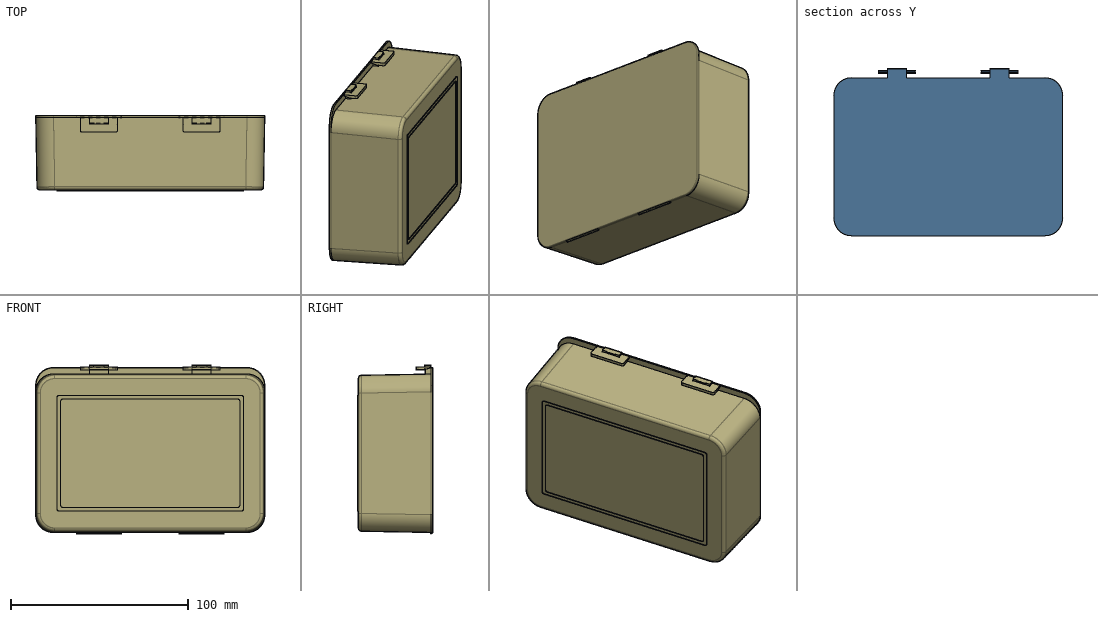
import cadquery as cq
import math


WIDTH = 129.0
FLANGE_HEIGHT = 92.9
FLANGE_THICKNESS = 1.2
CORNER_RADIUS = 10.0
BACK_EDGE_ROUND = 0.4

FLANGE_OVERHANG = 3.6
BOX_FRONT_Y = -42.0
DRAFT_ANGLE = 1.0
FRONT_EDGE_ROUND = 1.9
box_height = FLANGE_HEIGHT - FLANGE_OVERHANG
box_center_z = box_height / 2
box_depth = -BOX_FRONT_Y - FLANGE_THICKNESS

FRAME_WIDTH = 105.0
FRAME_HEIGHT = 65.1
FRAME_BORDER = 2.0
FRAME_RISE = 0.4
FRAME_CORNER_RADIUS = 1.3

STATION_X = 28.9
stations = (-STATION_X, STATION_X)

CATCH_WIDTH = 10.8
CATCH_FRONT_Y = -4.4
CATCH_RISE = 1.3
NUB_WIDTH = 5.8
NUB_LENGTH = 0.4
catch_top_z = FLANGE_HEIGHT + CATCH_RISE

LATCH_WIDTH = 20.9
LATCH_FRONT_Y = -9.4
LATCH_RISE = 0.4
LATCH_THICKNESS = 1.7
LATCH_ROOT_THICKNESS = 0.5
LATCH_RAMP_END_Y = -5.0
LATCH_CORNER_RADIUS = 1.0
latch_top_z = FLANGE_HEIGHT + LATCH_RISE

HINGE_WIDTH = 25.2
HINGE_DROP = 0.8
HINGE_BACK_Y = -0.1
HINGE_RIDGE_Y = -1.0
HINGE_FRONT_Y = -1.5


def block(center_x, width, back_y, front_y, bottom_z, top_z):
    """Box given by its X centre and width and by its limits along Y and Z."""
    return cq.Workplane("XY").box(width, back_y - front_y, top_z - bottom_z).translate(
        (center_x, (back_y + front_y) / 2, (bottom_z + top_z) / 2)
    )


def slab(width, height, center_z, back_y, depth, corner_radius, draft=0.0):
    """Rounded rectangle extruded toward -Y, with its corners rounded after any draft."""
    return (
        cq.Workplane("XZ", origin=(0, back_y, center_z))
        .rect(width, height)
        .extrude(depth, taper=draft)
        .edges("not(|X or |Z)")
        .fillet(corner_radius)
    )


def side_profile(points, center_x, width):
    """Outline of (y, z) points extruded along X, centred on center_x."""
    return (
        cq.Workplane("YZ", origin=(center_x, 0, 0))
        .polyline(points)
        .close()
        .extrude(width / 2, both=True)
    )


def make_shell():
    """Flange and drafted box."""
    flange = slab(WIDTH, FLANGE_HEIGHT, FLANGE_HEIGHT / 2, 0, FLANGE_THICKNESS, CORNER_RADIUS)
    flange = flange.faces(">Y").edges().fillet(BACK_EDGE_ROUND)
    box = slab(WIDTH, box_height, box_center_z, -FLANGE_THICKNESS, box_depth, CORNER_RADIUS, DRAFT_ANGLE)
    box = box.faces("<Y").edges().fillet(FRONT_EDGE_ROUND)
    return flange.union(box)


def make_frame():
    """Raised border around the plain panel on the front of the box."""
    outer = slab(FRAME_WIDTH, FRAME_HEIGHT, box_center_z, BOX_FRONT_Y, FRAME_RISE, FRAME_CORNER_RADIUS)
    opening = slab(
        FRAME_WIDTH - 2 * FRAME_BORDER,
        FRAME_HEIGHT - 2 * FRAME_BORDER,
        box_center_z,
        BOX_FRONT_Y,
        FRAME_RISE,
        FRAME_CORNER_RADIUS,
    )
    return outer.cut(opening)


def make_catch(center_x):
    """Post with a nub that overhangs the latch."""
    foot_z = box_height - box_depth * math.tan(math.radians(DRAFT_ANGLE))
    post = block(center_x, CATCH_WIDTH, -FLANGE_THICKNESS, CATCH_FRONT_Y, foot_z, catch_top_z)
    nub = block(center_x, NUB_WIDTH, CATCH_FRONT_Y, CATCH_FRONT_Y - NUB_LENGTH, latch_top_z, catch_top_z)
    return post.union(nub)


def make_housing():
    housing = make_shell().union(make_frame())
    for center_x in stations:
        housing = housing.union(make_catch(center_x))
    return housing


def make_latch(center_x):
    """Tab with a ramped underside and a slot that the catch passes through."""
    profile = [
        (-FLANGE_THICKNESS, latch_top_z),
        (LATCH_FRONT_Y, latch_top_z),
        (LATCH_FRONT_Y, latch_top_z - LATCH_THICKNESS),
        (LATCH_RAMP_END_Y, latch_top_z - LATCH_THICKNESS),
        (-FLANGE_THICKNESS, latch_top_z - LATCH_ROOT_THICKNESS),
    ]
    tab = side_profile(profile, center_x, LATCH_WIDTH)
    tab = tab.faces("<Y").edges("|Z").fillet(LATCH_CORNER_RADIUS)
    slot_front_y = CATCH_FRONT_Y - NUB_LENGTH
    slot = block(
        center_x, CATCH_WIDTH, -FLANGE_THICKNESS, slot_front_y, latch_top_z - LATCH_THICKNESS, latch_top_z
    )
    return tab.cut(slot)


def make_hinge(center_x):
    """Strip whose ridge hangs below the flange."""
    profile = [
        (HINGE_BACK_Y, 0),
        (HINGE_RIDGE_Y, -HINGE_DROP),
        (HINGE_FRONT_Y, 0),
    ]
    return side_profile(profile, center_x, HINGE_WIDTH)


housing = make_housing()
latches = [make_latch(center_x) for center_x in stations]
hinges = [make_hinge(center_x) for center_x in stations]

result = cq.Compound.makeCompound(
    [housing.val()] + [latch.val() for latch in latches] + [hinge.val() for hinge in hinges]
)